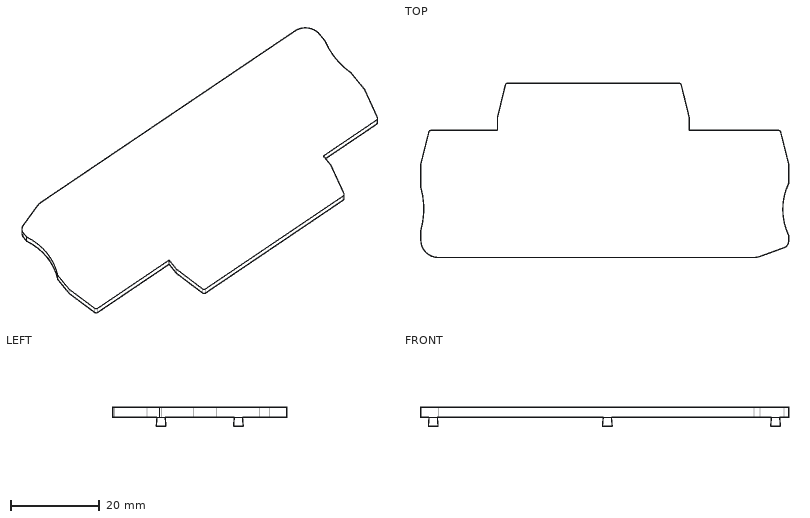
import cadquery as cq
import math

length = 83.6
depth = 39.6
thickness = 2.3

shoulder_y = 28.9
shoulder_foot_y = 21.2
crown_left = 17.4
crown_right = 61.0
crown_foot_y = 31.8
taper_run = 1.9
tip_radius = 0.6

left_hollow_top = 16.0
left_hollow_bottom = 6.2
left_hollow_depth = 0.7
right_hollow_top = 16.9
right_hollow_bottom = 5.0
right_hollow_depth = 1.3

left_corner_radius = 4.0
slope_start_x = 76.4
slope_angle = math.radians(20)
slope_end_y = (length - slope_start_x) * math.tan(slope_angle)
slope_blend_radius = 4.2
right_corner_radius = 1.7

total_height = 4.4
peg_length = total_height - thickness
peg_root_diameter = 1.9
peg_tip_diameter = 2.25
peg_tip_chamfer = 0.2
end_peg_y = 11.0
peg_centers = [(2.85, end_peg_y), (42.4, 28.6), (80.6, end_peg_y)]


def round_corner(body, x, y, radius):
    """Round the vertical plate edge nearest to (x, y)."""
    edge = cq.selectors.NearestToPointSelector((x, y, thickness / 2))
    return body.edges("|Z").edges(edge).fillet(radius)


def make_plate():
    left_hollow_middle = (left_hollow_depth, (left_hollow_top + left_hollow_bottom) / 2)
    right_hollow_middle = (length - right_hollow_depth, (right_hollow_top + right_hollow_bottom) / 2)
    tips = [
        (length - taper_run, shoulder_y),
        (crown_right - taper_run, depth),
        (crown_left + taper_run, depth),
        (taper_run, shoulder_y),
    ]
    right_shoulder, right_crown, left_crown, left_shoulder = tips
    plate = (
        cq.Workplane("XY")
        .moveTo(0, 0)
        .lineTo(slope_start_x, 0)
        .lineTo(length, slope_end_y)
        .lineTo(length, right_hollow_bottom)
        .threePointArc(right_hollow_middle, (length, right_hollow_top))
        .lineTo(length, shoulder_foot_y)
        .lineTo(*right_shoulder)
        .lineTo(crown_right, shoulder_y)
        .lineTo(crown_right, crown_foot_y)
        .lineTo(*right_crown)
        .lineTo(*left_crown)
        .lineTo(crown_left, crown_foot_y)
        .lineTo(crown_left, shoulder_y)
        .lineTo(*left_shoulder)
        .lineTo(0, shoulder_foot_y)
        .lineTo(0, left_hollow_top)
        .threePointArc(left_hollow_middle, (0, left_hollow_bottom))
        .close()
        .extrude(thickness)
    )
    for x, y in tips:
        plate = round_corner(plate, x, y, tip_radius)
    plate = round_corner(plate, 0, 0, left_corner_radius)
    plate = round_corner(plate, slope_start_x, 0, slope_blend_radius)
    return round_corner(plate, length, slope_end_y, right_corner_radius)


def make_peg(x, y):
    """Peg that widens slightly downward and ends in a small chamfer."""
    root_radius = peg_root_diameter / 2
    widest_radius = peg_tip_diameter / 2
    half_profile = [
        (0, 0),
        (root_radius, 0),
        (widest_radius, peg_tip_chamfer - peg_length),
        (widest_radius - peg_tip_chamfer, -peg_length),
        (0, -peg_length),
    ]
    peg = cq.Workplane("XZ").polyline(half_profile).close().revolve(360, (0, 0), (0, 1))
    return peg.translate((x, y, 0))


result = make_plate()
for peg_x, peg_y in peg_centers:
    result = result.union(make_peg(peg_x, peg_y))